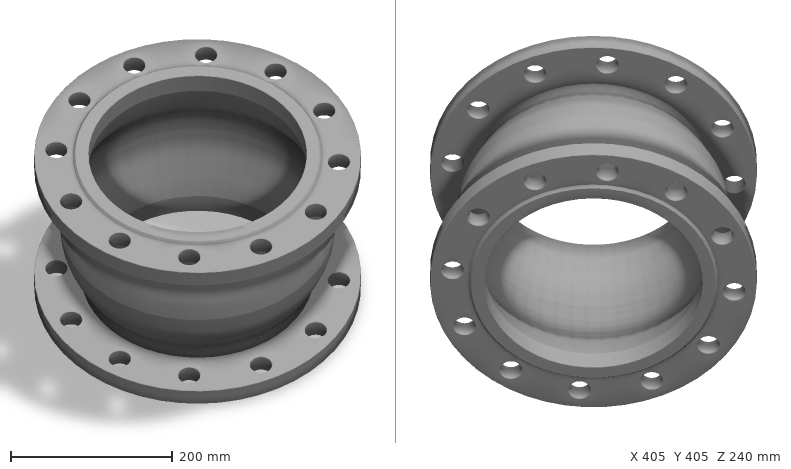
import cadquery as cq

total_height = 240.0
half_height = total_height / 2

flange_radius = 202.5
flange_thickness = 23.0
bore_radius = 135.05
face_height = 3.5
edge_break = 0.6
face_base_radius = 154.7
face_top_radius = 151.5
flange_inner_z = half_height - face_height - flange_thickness

bolt_count = 12
bolt_diameter = 27.0
bolt_circle_radius = 175.5
bolt_pitch_angle = 360 / bolt_count

bellows_radius = 171.0
shoulder_point = (164.0, 38.5)
neck_point = (153.0, 62.0)
end_radius = 144.5
end_tangent = (-0.25, 1)
middle_tangent = (0, 1)
wall_thickness = end_radius - bore_radius


def make_flange():
    """Upper flange with broken edges and a tapered raised face."""
    flange_outer_z = flange_inner_z + flange_thickness
    profile = (
        cq.Workplane("XZ")
        .moveTo(bore_radius, flange_inner_z)
        .lineTo(flange_radius - edge_break, flange_inner_z)
        .lineTo(flange_radius, flange_inner_z + edge_break)
        .lineTo(flange_radius, flange_outer_z - edge_break)
        .lineTo(flange_radius - edge_break, flange_outer_z)
        .lineTo(face_base_radius, flange_outer_z)
        .lineTo(face_top_radius + edge_break, half_height - edge_break)
        .lineTo(face_top_radius, half_height)
        .lineTo(bore_radius + edge_break, half_height)
        .lineTo(bore_radius, half_height - edge_break)
        .close()
    )
    flange = profile.revolve(360, (0, 0, 0), (0, 1, 0))
    bolt_holes = (
        cq.Workplane("XY")
        .workplane(offset=flange_inner_z)
        .polarArray(bolt_circle_radius, bolt_pitch_angle / 2, 360, bolt_count)
        .circle(bolt_diameter / 2)
        .extrude(flange_thickness)
    )
    drilled = flange.cut(bolt_holes)
    return drilled.edges(cq.selectors.RadiusNthSelector(0)).chamfer(edge_break)


def make_upper_bellows():
    """Upper half of the bulging wall, of constant radial thickness."""
    outer = [(bellows_radius, 0), shoulder_point, neck_point, (end_radius, flange_inner_z)]
    inner = [(radius - wall_thickness, z) for radius, z in reversed(outer)]
    inner_tangents = [(-dr, -dz) for dr, dz in (end_tangent, middle_tangent)]
    profile = (
        cq.Workplane("XZ")
        .moveTo(*outer[0])
        .spline(outer[1:], tangents=[middle_tangent, end_tangent], includeCurrent=True)
        .lineTo(*inner[0])
        .spline(inner[1:], tangents=inner_tangents, includeCurrent=True)
        .close()
    )
    return profile.revolve(360, (0, 0, 0), (0, 1, 0))


upper_half = make_flange().union(make_upper_bellows())
lower_half = upper_half.mirror("XY")
result = upper_half.union(lower_half)